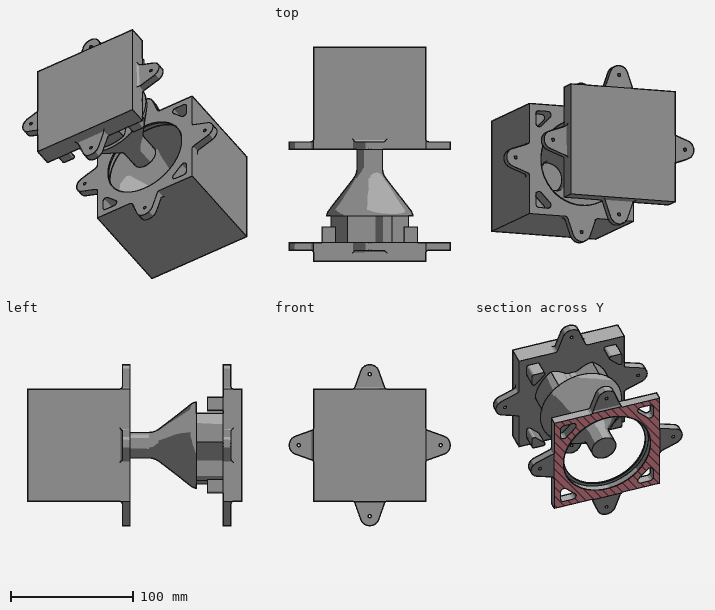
import cadquery as cq
import math

total_length = 175.3
tab_span = 132.0
block_width = 91.8
plate_thickness = 15.2
mating_face_y = 91.5
housing_depth = total_length - mating_face_y

tab_thickness = 6.3
tab_tip_radius = 7.9
tab_hole_radius = 1.2
tab_side_angle = 19.6
tab_fillet = 2.5
tab_overlap = 3.5
tab_hole_distance = tab_span / 2 - tab_tip_radius

core_depth = mating_face_y - plate_thickness
neck_radius = 10.5
neck_bend_radius = 13.3
cone_angle = 37.8
rim_radius = 35.4
rim_bend_radius = 10.0
rim_edge_angle = 8.0
lobe_length = 21.9

lobe_count = 3
lobe_radius = 31.9
shank_radius = 20.3
valley_half_width = 2.8
valley_end_radius = 8.5
lobe_flank_radius = 20.0
flank_start = (7.4, 22.5)
lobe_corner_across = 18.0
valley_overcut = 1.8

wall = 2.5
lip_radius = 35.8
lip_thickness = 1.4
mouth_depth = 7.0
mouth_step = 0.4

pin_reach = 39.3
pin_leg = 13.7
pin_length = 13.0
pin_corner_radius = 1.8
pin_clearance = 1.0

tolerance = 0.02


def facing_y(y):
    """Workplane at height y with X across and -Z up, extruding toward +Y."""
    return cq.Workplane(cq.Plane(origin=(0, y, 0), xDir=(1, 0, 0), normal=(0, 1, 0)))


def square_block(y_start, depth):
    return facing_y(y_start).rect(block_width, block_width).extrude(depth)


def tab(y_start):
    """Tapered tab with a round tip, pointing toward +X."""
    slope = math.radians(tab_side_angle)
    base_x = block_width / 2 - tab_overlap
    tangent_x = tab_hole_distance + tab_tip_radius * math.sin(slope)
    tangent_z = tab_tip_radius * math.cos(slope)
    base_z = tangent_z + (tangent_x - base_x) * math.tan(slope)
    return (
        cq.Workplane("XZ", origin=(0, y_start + tab_thickness, 0))
        .moveTo(base_x, -base_z)
        .lineTo(tangent_x, -tangent_z)
        .threePointArc((tab_span / 2, 0), (tangent_x, tangent_z))
        .lineTo(base_x, base_z)
        .close()
        .moveTo(tab_hole_distance, 0)
        .circle(tab_hole_radius)
        .extrude(tab_thickness)
    )


def add_tabs(block, y_start, flush_y):
    """Add four tabs flush with one block face and fillet where they meet the sides."""
    for quarter in range(4):
        block = block.union(tab(y_start).rotate((0, 0, 0), (0, 1, 0), 90 * quarter))

    half = block_width / 2
    inside = half - 1.8

    def is_root(edge):
        box = edge.BoundingBox()
        on_x_side = box.xlen < tolerance and abs(abs(box.center.x) - half) < tolerance
        on_z_side = box.zlen < tolerance and abs(abs(box.center.z) - half) < tolerance
        within_x_side = on_x_side and box.zmax < inside and box.zmin > -inside
        within_z_side = on_z_side and box.xmax < inside and box.xmin > -inside
        flush = abs(box.ymin - flush_y) < tolerance and box.ylen < tolerance
        return (within_x_side or within_z_side) and not flush

    roots = [edge for edge in block.edges().vals() if is_root(edge)]
    return block.newObject(roots).fillet(tab_fillet)


def funnel(rim, neck, neck_bend, rim_bend, rim_y):
    """Solid of revolution about Y: straight neck, cone and rounded rim, ending flat at rim_y."""
    slope = math.radians(cone_angle)
    edge_slope = math.radians(rim_edge_angle)
    mid_slope = (slope + edge_slope) / 2
    rim_center_r = rim - rim_bend * math.cos(edge_slope)
    rim_center_y = rim_y - rim_bend * math.sin(edge_slope)

    def rim_point(angle):
        return (rim_center_r + rim_bend * math.cos(angle), rim_center_y + rim_bend * math.sin(angle))

    cone_radius, cone_y = rim_point(slope)
    throat_radius = neck + neck_bend * (1 - math.cos(slope))
    throat_y = cone_y + (cone_radius - throat_radius) / math.tan(slope)
    neck_y = throat_y + neck_bend * math.sin(slope)
    neck_mid = (
        neck + neck_bend * (1 - math.cos(slope / 2)),
        neck_y - neck_bend * math.sin(slope / 2),
    )
    tip_y = rim_y + core_depth - lobe_length
    return (
        cq.Workplane("XY")
        .moveTo(0, rim_y)
        .lineTo(rim, rim_y)
        .threePointArc(rim_point(mid_slope), (cone_radius, cone_y))
        .lineTo(throat_radius, throat_y)
        .threePointArc(neck_mid, (neck, neck_y))
        .lineTo(neck, tip_y)
        .lineTo(0, tip_y)
        .close()
        .revolve(360, (0, 0, 0), (0, 1, 0))
    )


def valley():
    """Cutter for the gap between two lobes, opening toward +Z."""
    corner_z = math.sqrt(lobe_radius**2 - lobe_corner_across**2)
    foot_z = math.sqrt(shank_radius**2 - valley_half_width**2)
    outer_z = lobe_radius + valley_overcut
    across, out = flank_start
    return (
        facing_y(plate_thickness)
        .moveTo(-lobe_corner_across, -corner_z)
        .radiusArc((-across, -out), -lobe_flank_radius)
        .radiusArc((-valley_half_width, -foot_z), valley_end_radius)
        .threePointArc((0, -shank_radius), (valley_half_width, -foot_z))
        .radiusArc((across, -out), valley_end_radius)
        .radiusArc((lobe_corner_across, -corner_z), -lobe_flank_radius)
        .lineTo(lobe_corner_across, -outer_z)
        .lineTo(-lobe_corner_across, -outer_z)
        .close()
        .extrude(lobe_length)
    )


def lobed_shank():
    shank = facing_y(plate_thickness).circle(lobe_radius).extrude(lobe_length)
    for lobe in range(lobe_count):
        shank = shank.cut(valley().rotate((0, 0, 0), (0, 1, 0), lobe * 360 / lobe_count))
    return shank


def corner_prisms(y_start, length, offset):
    """Four rounded triangular prisms, one per corner, grown on every side by offset."""
    reach = pin_reach + offset
    leg = pin_leg + offset * (2 + math.sqrt(2))
    prism = (
        facing_y(y_start)
        .polyline([(reach, reach), (reach - leg, reach), (reach, reach - leg)])
        .close()
        .extrude(length)
        .edges("|Y")
        .fillet(pin_corner_radius + offset)
    )
    prisms = prism
    for quarter in range(1, 4):
        prisms = prisms.union(prism.rotate((0, 0, 0), (0, 1, 0), 90 * quarter))
    return prisms


def make_core():
    plate = square_block(0, plate_thickness)
    core = add_tabs(plate, plate_thickness - tab_thickness, plate_thickness)
    core = core.union(lobed_shank())
    rim_y = plate_thickness + lobe_length
    core = core.union(funnel(rim_radius, neck_radius, neck_bend_radius, rim_bend_radius, rim_y))
    return core.union(corner_prisms(plate_thickness, pin_length, 0))


def make_cavity():
    """Space for the core and the wall around it, narrowed by a thin lip at the mouth."""
    bore_radius = rim_radius + wall
    bore_start_y = mating_face_y + lip_thickness
    cone_space = funnel(
        bore_radius,
        neck_radius + wall,
        neck_bend_radius - wall,
        rim_bend_radius + wall,
        mating_face_y + lobe_length,
    )
    bore = facing_y(bore_start_y).circle(bore_radius).extrude(lobe_length - lip_thickness)
    mouth = (
        facing_y(bore_start_y)
        .circle(bore_radius + mouth_step)
        .extrude(mouth_depth - lip_thickness)
    )
    lip_opening = facing_y(mating_face_y).circle(lip_radius).extrude(lip_thickness)
    return cone_space.union(bore).union(mouth).union(lip_opening)


def make_housing():
    block = square_block(mating_face_y, housing_depth)
    housing = add_tabs(block, mating_face_y, mating_face_y)
    sockets = corner_prisms(mating_face_y, pin_length + pin_clearance, pin_clearance)
    return housing.cut(make_cavity()).cut(sockets)


core = make_core()
housing = make_housing()
result = cq.Compound.makeCompound([core.val(), housing.val()])